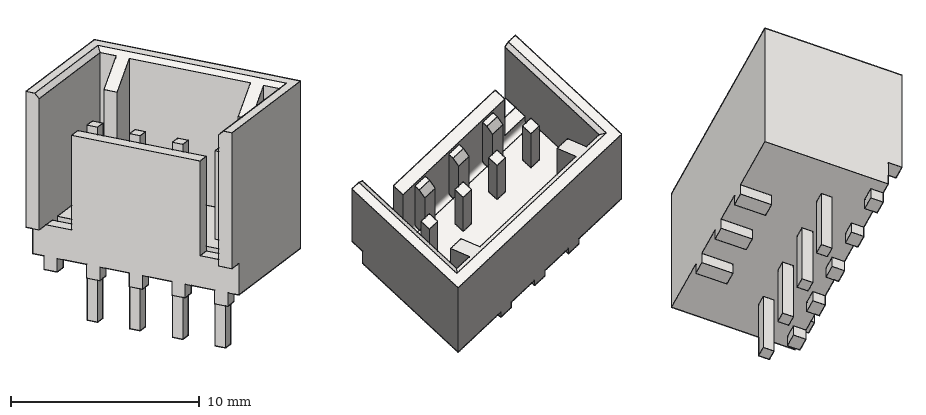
import cadquery as cq

width = 12.3
depth = 7.95
height = 13.97
pitch = 2.54
contacts = 4

foot_bottom = 3.55
base_bottom = 4.33
floor_top = 6.15
pin_top = 11.23
front_wall_top = 11.6

side_wall = 0.8
back_wall = 0.9
rim_chamfer = 0.27
base_front = 0.8
front_wall_thickness = 0.73
front_wall_width = 7.65
front_wall_back = base_front + front_wall_thickness
cavity_back = depth - back_wall
cavity_width = width - 2 * side_wall

groove_width = 0.57
groove_depth = 0.91
groove_radius = 0.25

key_width = 0.78
key_top = pin_top
key_flat = 0.32
key_chamfer = 0.42

rib_width = 0.78
rib_length = 1.41
rib_spacing = 8.0

pin_size = 0.63
pin_y = 3.48
foot_width = 0.8
back_foot_length = 1.8


def box(x_center, x_size, y_min, y_max, z_min, z_max):
    """Block centred on x_center, between the given Y and Z limits."""
    block = cq.Workplane("XY").box(x_size, y_max - y_min, z_max - z_min, centered=(True, False, False))
    return block.translate((x_center, y_min, z_min))


def side_profile(points, x_center, x_size):
    """Extrude a (Y, Z) outline along X, centred on x_center."""
    outline = cq.Workplane("YZ").polyline(points).close()
    return outline.extrude(x_size / 2, both=True).translate((x_center, 0, 0))


def row(count):
    """X positions of a centred row with the contact pitch."""
    return [(i - (count - 1) / 2) * pitch for i in range(count)]


def make_shell():
    """Base and three outer walls, with the inner rim chamfered."""
    shell = box(0, width, 0, depth, base_bottom, height)
    shell = shell.cut(box(0, cavity_width, 0, cavity_back, floor_top, height))
    shell = shell.cut(box(0, width, 0, base_front, base_bottom, floor_top))
    mouth = (
        cq.Workplane("XY", origin=(0, 0, height))
        .rect(cavity_width + 2 * rim_chamfer, 2 * (cavity_back + rim_chamfer))
        .workplane(offset=-rim_chamfer)
        .rect(cavity_width, 2 * cavity_back)
        .loft(ruled=True)
    )
    return shell.cut(mouth)


def make_groove():
    """Groove across the floor, rounded where its bottom meets the front wall."""
    groove_back = front_wall_back + groove_width
    groove_bottom = floor_top - groove_depth
    outline = (
        cq.Workplane("YZ")
        .moveTo(front_wall_back, floor_top)
        .lineTo(front_wall_back, groove_bottom + groove_radius)
        .radiusArc((front_wall_back + groove_radius, groove_bottom), -groove_radius)
        .lineTo(groove_back, groove_bottom)
        .lineTo(groove_back, floor_top)
        .close()
    )
    return outline.extrude(cavity_width / 2, both=True)


def make_key(x):
    """Upright key on the front wall with a sloped top."""
    key_back = front_wall_back + key_flat + key_chamfer
    root = floor_top - groove_depth
    points = [
        (front_wall_back, root),
        (front_wall_back, key_top),
        (front_wall_back + key_flat, key_top),
        (key_back, key_top - key_chamfer),
        (key_back, root),
    ]
    return side_profile(points, x, key_width)


def make_rib(x):
    """Rib on the back wall, its 45 degree top in line with the rim chamfer."""
    rib_front = cavity_back - rib_length
    slope_top = height - rim_chamfer
    points = [
        (cavity_back, floor_top),
        (cavity_back, slope_top),
        (rib_front, slope_top - rib_length),
        (rib_front, floor_top),
    ]
    return side_profile(points, x, rib_width)


result = make_shell().cut(make_groove())
result = result.union(box(0, front_wall_width, base_front, front_wall_back, floor_top, front_wall_top))

for x in row(contacts - 1):
    result = result.union(make_key(x))
    result = result.union(box(x, foot_width, depth - back_foot_length, depth, foot_bottom, base_bottom))

for x in (-rib_spacing / 2, rib_spacing / 2):
    result = result.union(make_rib(x))

for x in row(contacts):
    result = result.union(box(x, pin_size, pin_y - pin_size / 2, pin_y + pin_size / 2, 0, pin_top))

for x in row(contacts + 1):
    result = result.union(box(x, foot_width, base_front, front_wall_back, foot_bottom, base_bottom))